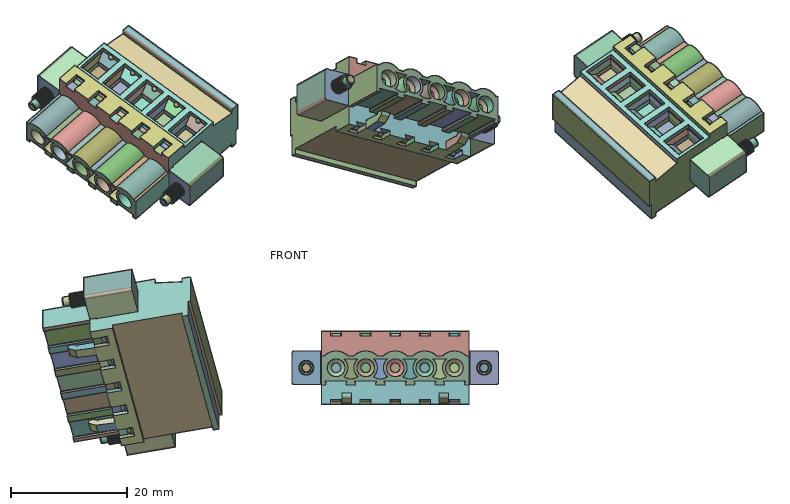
import cadquery as cq
import math

poles = 5
pitch = 5.1
width = poles * pitch
half_height = 6.3
overall_width = 35.55

body_back = 17.67
rail_depth = 3.95
rail_height = 0.9
ridge_depth = 1.5
ridge_front = body_back - ridge_depth
ridge_top = 4.35
ridge_fall = 0.05
ridge_fall_depth = 0.25
ridge_lip_radius = 0.2
ramp_top_y = 11.4
ramp_top_z = 4.35
ramp_bottom_z = 3.38
undercut_z = -2.45
undercut_depth = 0.45

plug_length = 8.32
sleeve_radius = 2.88
valley_z = 2.03
plug_bottom = -3.0
recess_z = -2.3
foot_width = 1.65
foot_neck = 1.28
foot_bulb_height = 0.55
foot_radius = 0.2

socket_radius = 1.53
socket_end_radius = 0.82
bore_depth = 1.67
socket_cone_depth = 0.5
pocket_top = 1.5
pocket_wall_radius = 2.03
pocket_bottom_radius = 1.92

flange_length = 8.43
flange_height = 5.8
flange_radius = 0.43
gap_width = 0.1
gap_depth = 1.03

screw_x = 15.3
thread_radius = 1.28
thread_depth = 0.15
thread_turns = 13
thread_pitch = 0.225
tip_radius = 0.85
tip_length = 1.3
tip_chamfer_length = 0.18
tip_end_radius = 0.7

window_width = 3.95
window_front = 4.9
window_back = 10.5
window_depth = 0.9
ledge = 0.2
floor_width = 2.95
floor_front = 5.37
floor_back = 8.8
funnel_depth = 0.95
well_depth = 1.05
nub_radius = 0.5

notch_width = 1.9
notch_length = 2.63
notch_depth = 0.82
wedge_width = 1.45
wedge_start = 1.53
wedge_end = 2.2
wedge_height = 0.4

latch_x = 8.35
latch_width = 1.6
latch_length = 4.7
latch_tip_radius = 0.55
latch_tip_top = -4.35
latch_arm_top = -4.73
latch_arm_length = 3.13
latch_head_length = 1.03
latch_heel_y = -3.35
latch_heel_z = -6.08
latch_underside_angle = math.radians(35)

deck_z = half_height - rail_height
pole_xs = [(i - (poles - 1) / 2) * pitch for i in range(poles)]
wall_xs = [(i - poles / 2) * pitch for i in range(poles + 1)]


def block(x_min, x_max, y_min, y_max, z_min, z_max):
    size = (x_max - x_min, y_max - y_min, z_max - z_min)
    return cq.Workplane("XY").box(*size, centered=False).translate((x_min, y_min, z_min))


def centred_block(x, size_x, y_min, y_max, z_min, z_max):
    return block(x - size_x / 2, x + size_x / 2, y_min, y_max, z_min, z_max)


def extrude_x(outline, x, size_x):
    """Extrude a closed (y, z) outline by size_x, centred on x."""
    return outline.close().extrude(size_x / 2, both=True).translate((x, 0, 0))


def make_body():
    lip_top = ridge_top - ridge_lip_radius
    outline = (
        cq.Workplane("YZ")
        .moveTo(0, -half_height)
        .lineTo(0, half_height)
        .lineTo(rail_depth, half_height)
        .lineTo(rail_depth, deck_z)
        .lineTo(ramp_top_y, deck_z)
        .lineTo(ramp_top_y, ramp_top_z)
        .lineTo(ridge_front, ramp_bottom_z)
        .lineTo(ridge_front, lip_top)
        .radiusArc((ridge_front + ridge_lip_radius, ridge_top), ridge_lip_radius)
        .lineTo(body_back - ridge_fall_depth, ridge_top)
        .lineTo(body_back, ridge_top - ridge_fall)
        .lineTo(body_back, undercut_z)
        .lineTo(body_back - undercut_depth, undercut_z)
        .lineTo(body_back - undercut_depth, -half_height)
        .lineTo(ridge_front, -half_height)
        .lineTo(ridge_front, -deck_z)
        .lineTo(rail_depth, -deck_z)
        .lineTo(rail_depth, -half_height)
    )
    return extrude_x(outline, 0, width)


def make_window(x):
    """Funnel-shaped opening in the deck with a round nub on its back wall."""
    funnel_top = deck_z - window_depth
    floor_z = funnel_top - funnel_depth
    front = window_front + ledge
    opening = centred_block(x, window_width, window_front, window_back, funnel_top, deck_z)
    funnel = (
        cq.Workplane("XY", origin=(x, (front + window_back) / 2, funnel_top))
        .rect(window_width, window_back - front)
        .workplane(offset=-funnel_depth)
        .center(0, (floor_front + floor_back - front - window_back) / 2)
        .rect(floor_width, floor_back - floor_front)
        .loft(ruled=True)
    )
    well = centred_block(x, floor_width, floor_front, floor_back, floor_z - well_depth, floor_z)
    nub = cq.Workplane("XY").sphere(nub_radius).translate((x, window_back, funnel_top))
    return opening.union(funnel).union(well).cut(nub)


def make_notch(x):
    """Notch in the front edge of the top rail, around a wedge standing at its back end."""
    floor_z = half_height - notch_depth
    notch = centred_block(x, notch_width, 0, notch_length, floor_z, half_height)
    outline = (
        cq.Workplane("YZ")
        .moveTo(wedge_start, floor_z)
        .lineTo(wedge_end, floor_z + wedge_height)
        .lineTo(notch_length, floor_z + wedge_height)
        .lineTo(notch_length, floor_z)
    )
    return notch.cut(extrude_x(outline, x, wedge_width))


def plug_cylinder(x, radius):
    """Cylinder along Y that spans the length of the plug."""
    return cq.Workplane("XZ").center(x, 0).circle(radius).extrude(plug_length)


def make_plug():
    plug = centred_block(0, width, -plug_length, 0, recess_z, valley_z)
    upper_half = centred_block(0, width, -plug_length, 0, 0, sleeve_radius)
    for x in pole_xs:
        plug = plug.union(plug_cylinder(x, sleeve_radius).intersect(upper_half))
    bulb_top = plug_bottom + foot_bulb_height
    envelope = centred_block(0, width, -plug_length, 0, plug_bottom, recess_z)
    for x in wall_xs:
        bulb = centred_block(x, foot_width, -plug_length, 0, plug_bottom, bulb_top)
        neck = centred_block(x, foot_neck, -plug_length, 0, plug_bottom, recess_z)
        foot = bulb.edges("|Y").fillet(foot_radius).union(neck)
        plug = plug.union(foot.intersect(envelope))
    return plug


def make_socket(x):
    """Round bore from the plug face, closing to a flat end through a cone."""
    cone_y = -plug_length + bore_depth
    end_y = cone_y + socket_cone_depth
    outline = (
        cq.Workplane("XY")
        .moveTo(0, -plug_length)
        .lineTo(socket_radius, -plug_length)
        .lineTo(socket_radius, cone_y)
        .lineTo(socket_end_radius, end_y)
        .lineTo(0, end_y)
        .close()
    )
    return outline.revolve(360, (0, 0, 0), (0, 1, 0)).translate((x, 0, 0))


def make_pocket(x):
    """Flat-topped pocket with a round floor, waisted by the walls of both neighbouring sockets."""
    envelope = centred_block(x, pitch, -plug_length, 0, -pocket_bottom_radius, pocket_top)
    upper = centred_block(x, pitch, -plug_length, 0, 0, pocket_top)
    pocket = plug_cylinder(x, pocket_bottom_radius).intersect(envelope).union(upper)
    for neighbour in (x - pitch / 2, x + pitch / 2):
        pocket = pocket.cut(plug_cylinder(neighbour, pocket_wall_radius))
    return pocket


def make_flange(side):
    inner = width / 2
    outer = overall_width / 2
    flange = block(inner, outer, 0, flange_length, -flange_height / 2, flange_height / 2)
    flange = flange.edges("|Y and >X").fillet(flange_radius)
    flange = flange.cut(block(inner, inner + gap_width, 0, gap_depth, -half_height, half_height))
    flange = flange.union(make_screw())
    return flange if side > 0 else flange.mirror("YZ")


def make_screw():
    """Threaded stud with a plain tip, turned about an axis along Y."""
    thread_length = thread_turns * thread_pitch
    length = thread_length + tip_length
    outline = cq.Workplane("XY").moveTo(0, 0).lineTo(thread_radius - thread_depth, 0)
    for turn in range(thread_turns):
        outline = outline.lineTo(thread_radius, -(turn + 0.5) * thread_pitch)
        outline = outline.lineTo(thread_radius - thread_depth, -(turn + 1) * thread_pitch)
    outline = (
        outline.lineTo(tip_radius, -thread_length)
        .lineTo(tip_radius, -length + tip_chamfer_length)
        .lineTo(tip_end_radius, -length)
        .lineTo(0, -length)
        .close()
    )
    return outline.revolve(360, (0, 0, 0), (0, 1, 0)).translate((screw_x, 0, 0))


def make_latch(x):
    """Flat arm reaching forward below the plug, ending in an upturned round tip."""
    tip_y = -latch_length + latch_tip_radius
    tip_z = latch_tip_top - latch_tip_radius
    underside_start = (
        tip_y - latch_tip_radius * math.sin(latch_underside_angle),
        tip_z - latch_tip_radius * math.cos(latch_underside_angle),
    )
    outline = (
        cq.Workplane("YZ")
        .moveTo(0, -half_height)
        .lineTo(0, latch_arm_top)
        .lineTo(-latch_arm_length, latch_arm_top)
        .lineTo(-latch_length + latch_head_length, latch_tip_top)
        .lineTo(tip_y, latch_tip_top)
        .threePointArc((-latch_length, tip_z), underside_start)
        .lineTo(latch_heel_y, latch_heel_z)
    )
    return extrude_x(outline, x, latch_width)


result = make_body().union(make_plug())
for x in pole_xs:
    notch = make_notch(x)
    result = result.cut(make_window(x)).cut(make_socket(x))
    result = result.cut(notch).cut(notch.mirror("XY"))
for x in wall_xs[1:-1]:
    result = result.cut(make_pocket(x))
for side in (-1, 1):
    result = result.union(make_flange(side)).union(make_latch(side * latch_x))